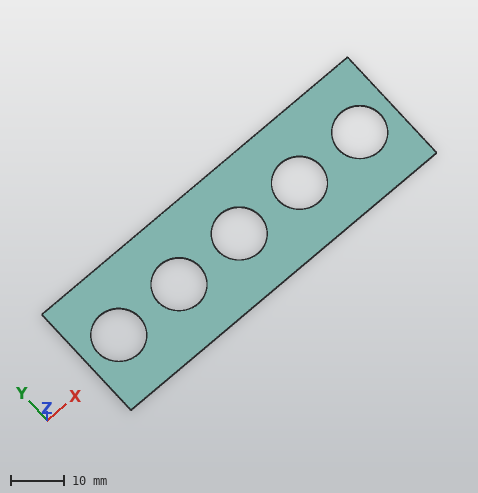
import cadquery as cq

length = 76.0
width = 25.0
thickness = 0.5

hole_count = 5
hole_diameter = 10.4
hole_pitch = 15.0

plate = cq.Workplane("XY").box(length, width, thickness)

result = (
    plate.faces(">Z")
    .workplane()
    .rarray(hole_pitch, width, hole_count, 1)
    .hole(hole_diameter)
)